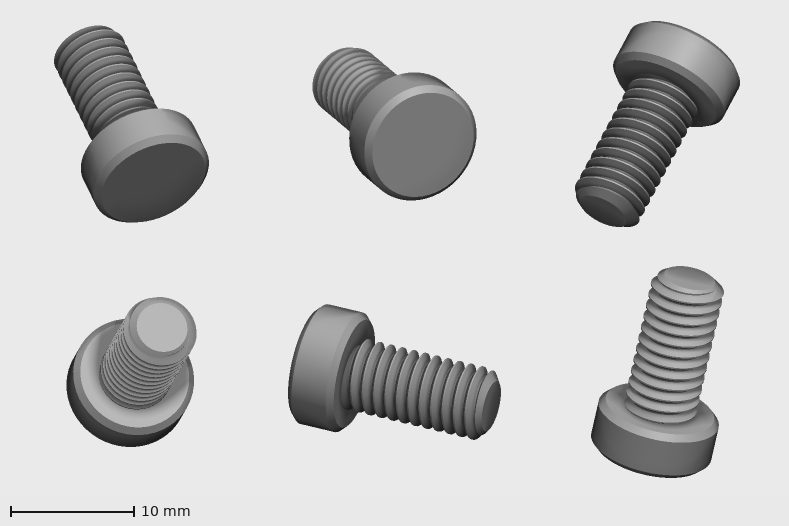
import cadquery as cq
import math

total_length = 16.0
head_length = 4.0
head_diameter = 10.0
head_chamfer = 0.5
thread_diameter = 6.0
root_diameter = 4.7
pitch = 1.0
tip_diameter = 4.2
tip_chamfer_length = 0.67
flank_half_angle = 30.0
first_crest_height = 0.83
ridge_sink = 0.08
trim_clearance = 0.16

shank_length = total_length - head_length
crest_radius = thread_diameter / 2
root_radius = root_diameter / 2
tip_radius = tip_diameter / 2
crest_half_width = pitch / 16
base_radius = root_radius - ridge_sink
ridge_depth = crest_radius - base_radius
base_half_width = crest_half_width + ridge_depth * math.tan(math.radians(flank_half_angle))


def make_head():
    return (
        cq.Workplane("XY", origin=(0, 0, shank_length))
        .circle(head_diameter / 2)
        .extrude(head_length)
        .faces("<Z or >Z")
        .chamfer(head_chamfer)
    )


def make_pointed_rod(radius):
    """Rod with the conical tip, reaching halfway into the head."""
    rod_end = shank_length + head_length / 2
    cone_height = tip_chamfer_length * (radius - tip_radius) / (crest_radius - tip_radius)
    return (
        cq.Workplane("XZ")
        .polyline([(0, 0), (tip_radius, 0), (radius, cone_height), (radius, rod_end), (0, rod_end)])
        .close()
        .revolve(360, (0, 0), (0, 1))
    )


def make_thread_ridge():
    """Right-handed ridge starting before the tip and ending inside the head."""
    start = first_crest_height - 2 * pitch
    helix_height = shank_length + pitch - start
    helix = cq.Wire.makeHelix(pitch, helix_height, root_radius).translate(cq.Vector(0, 0, start))
    profile = [
        (base_radius, start - base_half_width),
        (crest_radius, start - crest_half_width),
        (crest_radius, start + crest_half_width),
        (base_radius, start + base_half_width),
    ]
    ridge = cq.Workplane("XZ").polyline(profile).close().sweep(cq.Workplane(helix), isFrenet=True)
    return ridge.intersect(make_pointed_rod(crest_radius + trim_clearance))


screw = make_pointed_rod(root_radius).union(make_thread_ridge()).union(make_head())

result = screw.rotate((0, 0, 0), (0, 1, 0), 90).translate((-shank_length, 0, 0))